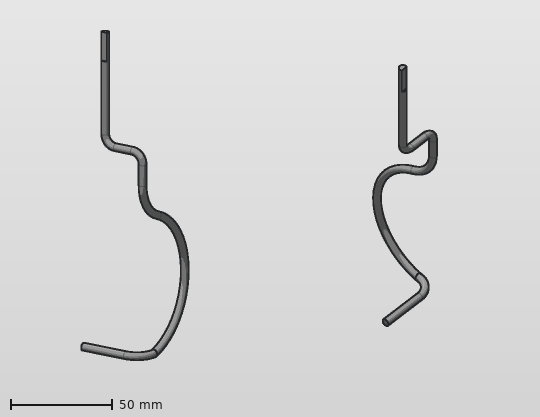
import cadquery as cq
import math

wire_diameter = 4.0
wire_radius = wire_diameter / 2
total_height = 167.0
shank_offset = 22.2
crank_height = 106.4
crank_bend_radius = 6.0
neck_bend_radius = 20.0
hook_radius = 37.2
foot_bend_radius = 10.0
foot_length = 25.0
foot_shift = -0.2
flat_length = 14.7
flat_depth = 1.0

hook_end_y = foot_shift + foot_bend_radius
hook_center_z = math.sqrt(hook_radius**2 - hook_end_y**2)
lowest_drop = math.sqrt((hook_radius + wire_radius) ** 2 - hook_end_y**2) - hook_center_z
shank_top = total_height - lowest_drop
neck_angle = math.acos(neck_bend_radius / (neck_bend_radius + hook_radius))
neck_bottom = hook_center_z + (neck_bend_radius + hook_radius) * math.sin(neck_angle)


def neck_point(angle):
    """Point on the neck bend, turned by angle from its upper end."""
    y = neck_bend_radius * (1 - math.cos(angle))
    return cq.Vector(0, y, neck_bottom - neck_bend_radius * math.sin(angle))


def hook_point(angle):
    """Point on the big arc, at angle above the horizontal."""
    y = hook_radius * math.cos(angle)
    return cq.Vector(0, y, hook_center_z + hook_radius * math.sin(angle))


def corner_arc(start, corner, end):
    """Quarter circle between two perpendicular legs that meet at corner."""
    center = start + end - corner
    middle = center + (corner - center).normalized() * (start - center).Length
    return cq.Edge.makeThreePointArc(start, middle, end)


def sweep_wire(edges):
    """Round wire that follows a smooth chain of edges."""
    path = cq.Wire.assembleEdges(edges)
    section = cq.Plane(origin=edges[0].startPoint(), normal=edges[0].tangentAt(0))
    return cq.Workplane(section).circle(wire_radius).sweep(cq.Workplane(path))


def make_hook():
    """Shank, crank, neck and big arc, trimmed upright where the foot begins."""
    along_x = cq.Vector(crank_bend_radius, 0, 0)
    along_z = cq.Vector(0, 0, crank_bend_radius)
    top = cq.Vector(-shank_offset, 0, shank_top)
    lower_corner = cq.Vector(-shank_offset, 0, crank_height)
    upper_corner = cq.Vector(0, 0, crank_height)
    end_angle = -math.acos(hook_end_y / hook_radius)
    overrun_angle = end_angle - wire_radius / hook_radius
    middle_angle = (neck_angle + overrun_angle) / 2
    edges = [
        cq.Edge.makeLine(top, lower_corner + along_z),
        corner_arc(lower_corner + along_z, lower_corner, lower_corner + along_x),
        cq.Edge.makeLine(lower_corner + along_x, upper_corner - along_x),
        corner_arc(upper_corner - along_x, upper_corner, upper_corner - along_z),
        cq.Edge.makeLine(upper_corner - along_z, neck_point(0)),
        cq.Edge.makeThreePointArc(
            neck_point(0), neck_point(neck_angle / 2), neck_point(neck_angle)
        ),
        cq.Edge.makeThreePointArc(
            hook_point(neck_angle), hook_point(middle_angle), hook_point(overrun_angle)
        ),
    ]
    trim_size = 4 * wire_diameter
    trim = (
        cq.Workplane("XY")
        .box(trim_size, trim_size, trim_size)
        .translate((0, hook_end_y - trim_size / 2, 0))
    )
    return sweep_wire(edges).cut(trim)


def make_foot():
    """Level bend and straight rod that run from the big arc toward -X."""
    bend_start = cq.Vector(0, hook_end_y, 0)
    corner = cq.Vector(0, foot_shift, 0)
    bend_end = cq.Vector(-foot_bend_radius, foot_shift, 0)
    tip = bend_end - cq.Vector(foot_length, 0, 0)
    return sweep_wire([corner_arc(bend_start, corner, bend_end), cq.Edge.makeLine(bend_end, tip)])


def make_flat_cut():
    """Block that removes the flat on the -Y side of the shank top."""
    return (
        cq.Workplane("XY")
        .box(wire_diameter, flat_depth, flat_length)
        .translate((-shank_offset, flat_depth / 2 - wire_radius, shank_top - flat_length / 2))
    )


result = make_hook().union(make_foot()).cut(make_flat_cut())